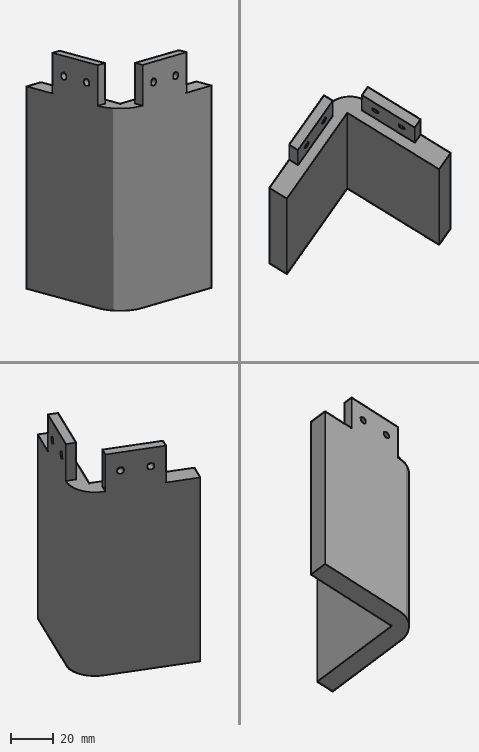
import cadquery as cq

leg_length = 62.0
leg_thickness = 10.0
corner_radius = 14.0
total_height = 120.0
tab_height = 20.0
body_height = total_height - tab_height

tab_width = 30.0
tab_thickness = 5.0
tab_corner_distance = 15.0

hole_diameter = 3.5
hole_spacing = 15.0
hole_height = body_height + tab_height / 2

tab_center = tab_corner_distance + tab_width / 2


def make_body():
    """Extruded L with a rounded outer corner and a sharp inner corner."""
    profile = (
        cq.Workplane("XY")
        .moveTo(-leg_length, 0)
        .lineTo(-corner_radius, 0)
        .radiusArc((0, corner_radius), -corner_radius)
        .lineTo(0, leg_length)
        .lineTo(-leg_thickness, leg_length)
        .lineTo(-leg_thickness, leg_thickness)
        .lineTo(-leg_length, leg_thickness)
        .close()
    )
    return profile.extrude(body_height)


def make_front_tab():
    """Drilled tab on the leg that runs along X."""
    tab = (
        cq.Workplane("XY")
        .box(tab_width, tab_thickness, tab_height, centered=(True, False, False))
        .translate((-tab_center, 0, body_height))
    )
    hole_places = [
        (-tab_center - hole_spacing / 2, hole_height),
        (-tab_center + hole_spacing / 2, hole_height),
    ]
    holes = (
        cq.Workplane("XZ")
        .pushPoints(hole_places)
        .circle(hole_diameter / 2)
        .extrude(-tab_thickness)
    )
    return tab.cut(holes)


front_tab = make_front_tab()
side_tab = front_tab.rotate((0, 0, 0), (0, 0, 1), -90).translate((-tab_thickness, 0, 0))

result = make_body().union(front_tab).union(side_tab)